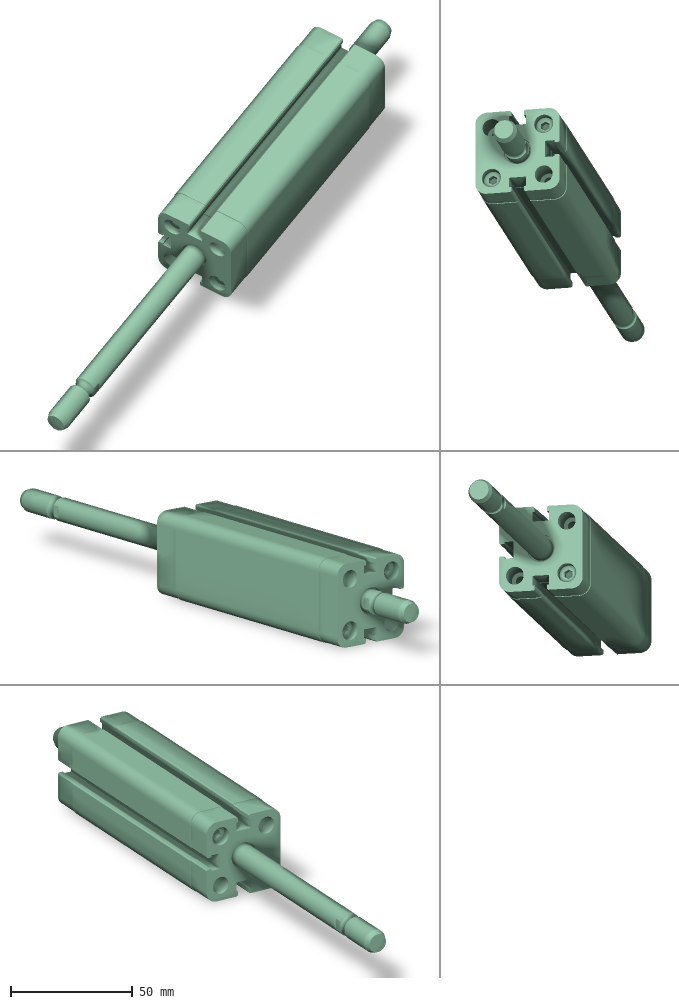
import cadquery as cq

rod_length = 251.0
body_width = 36.1
body_front = -19.0
body_back = 99.0
front_cap_length = 12.5
back_cap_length = 12.0
corner_radius = 5.0
cap_inset = 0.3

slot_mouth_width = 5.3
slot_inner_width = 7.0
slot_depth = 6.3
slot_lip = 2.3
slot_chamfer = 0.5

hole_offset = 11.0
counterbore_diameter = 7.5
counterbore_depth = 4.0
through_diameter = 4.0

screw_pocket_diameter = 8.0
screw_head_diameter = 7.5
screw_recess = 1.2
screw_gap_depth = 1.7
socket_diameter = 4.0
socket_depth = 1.0

rod_diameter = 10.0
bore_diameter = 11.5
bore_depth = 0.5

tip_diameter = 8.0
tip_chamfer = 2.5
thread_end = 18.3
groove_width = 4.3
groove_depth = 1.38
flat_end = 26.4
flat_slope = 0.63
flat_width = 8.8


def along_y(y):
    """XZ workplane at the given Y; a negative extrusion runs toward +Y."""
    plane = cq.Plane(origin=(0, y, 0), xDir=(1, 0, 0), normal=(0, -1, 0))
    return cq.Workplane(plane)


def cylinder(x, z, diameter, start, end):
    return along_y(start).center(x, z).circle(diameter / 2).extrude(start - end)


def t_slot(surface, start, end):
    """Slot cutter that opens upward through a flat face at Z = surface."""
    profile = [
        (slot_mouth_width / 2 + slot_chamfer, surface),
        (slot_mouth_width / 2, surface - slot_chamfer),
        (slot_mouth_width / 2, surface - slot_lip),
        (slot_inner_width / 2, surface - slot_lip),
        (slot_inner_width / 2, surface - slot_depth),
    ]
    mirrored = [(-x, z) for x, z in reversed(profile)]
    return along_y(start).polyline(profile + mirrored).close().extrude(start - end)


def slotted_bar(inset, start, end):
    """Rounded square bar with slots on +Z, -Z and -X, its whole skin set inward by inset."""
    width = body_width - 2 * inset
    bar = along_y(start).rect(width, width).extrude(start - end)
    bar = bar.edges("|Y").fillet(corner_radius - inset)
    for angle in (0, 180, -90):
        bar = bar.cut(t_slot(width / 2, start, end).rotate((0, 0, 0), (0, 1, 0), angle))
    return bar


def make_body():
    tube_front = body_front + front_cap_length
    tube_back = body_back - back_cap_length
    body = slotted_bar(0, tube_front, tube_back)
    body = body.union(slotted_bar(cap_inset, body_front, tube_front))
    return body.union(slotted_bar(cap_inset, tube_back, body_back))


def half_rod():
    """Front half of the rod, ending at Y = -rod_length / 2."""
    tip = -rod_length / 2
    radius = rod_diameter / 2
    groove_start = tip + thread_end
    groove_middle = groove_start + groove_width / 2
    groove_end = groove_start + groove_width
    rod = (
        cq.Workplane("XY")
        .moveTo(0, tip)
        .lineTo(tip_diameter / 2, tip)
        .lineTo(radius, tip + tip_chamfer)
        .lineTo(radius, groove_start)
        .threePointArc((radius - groove_depth, groove_middle), (radius, groove_end))
        .lineTo(radius, 0)
        .lineTo(0, 0)
        .close()
        .revolve(360, (0, 0, 0), (0, 1, 0))
    )
    flat = (
        cq.Workplane("XY")
        .moveTo(flat_width / 2, groove_middle)
        .lineTo(flat_width / 2, tip + flat_end - flat_slope)
        .lineTo(radius, tip + flat_end)
        .lineTo(radius, groove_middle)
        .close()
        .extrude(radius, both=True)
    )
    return rod.cut(flat).cut(flat.mirror("YZ"))


def cut_screw(body, x, z, face, inward):
    """Recessed screw head with a clearance ring around it and a hexagon socket."""
    head = face + inward * screw_recess
    gap_end = face + inward * screw_gap_depth
    pocket = cylinder(x, z, screw_pocket_diameter, face, gap_end)
    pocket = pocket.cut(cylinder(x, z, screw_head_diameter, head, gap_end))
    socket = along_y(head).center(x, z).transformed(rotate=(0, 0, 90))
    socket = socket.polygon(6, socket_diameter).extrude(-inward * socket_depth)
    return body.cut(pocket).cut(socket)


def cut_end_face(body, face, inward):
    """Bore, counterbores and screws of one end; inward is the Y direction into the body."""
    body = body.cut(cylinder(0, 0, bore_diameter, face, face + inward * bore_depth))
    for offset in (-hole_offset, hole_offset):
        counterbore_end = face + inward * counterbore_depth
        body = body.cut(cylinder(offset, offset, counterbore_diameter, face, counterbore_end))
        body = cut_screw(body, offset, -offset, face, inward)
    return body


body = make_body()
body = cut_end_face(body, body_front, 2.5)
body = cut_end_face(body, body_back, -2.5)
for offset in (-hole_offset, hole_offset):
    body = body.cut(cylinder(offset, offset, through_diameter, body_front, body_back))

rod = half_rod()
result = body.union(rod).union(rod.mirror("XZ"))